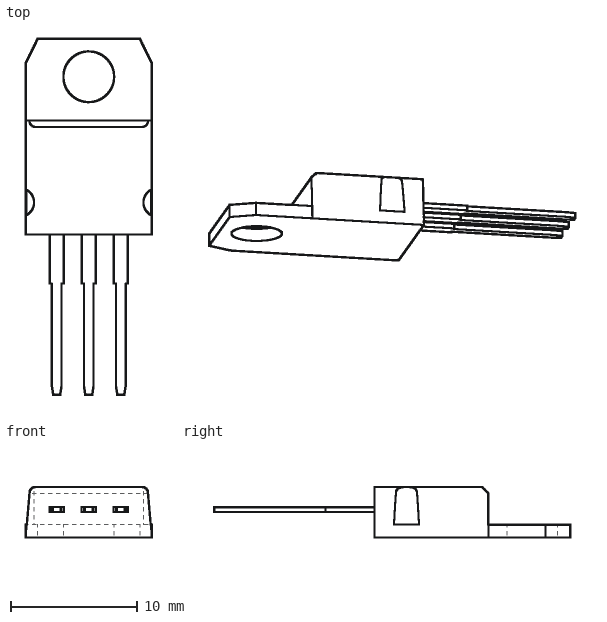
import cadquery as cq
import math

width = 10.0
height = 4.0
body_length = 9.02
tab_length = 6.5
lead_length = 12.7

tab_thickness = 1.02
tab_corner_x = 0.95
tab_corner_y = 1.95
hole_diameter = 4.0
hole_to_tab_end = 3.02

draft_angle = 5.0
top_edge_radius = 0.48
back_chamfer = 0.5
notch_radius = 1.13
notch_depth = 0.68
notch_y = 2.55

lead_count = 3
lead_pitch = 2.55
lead_thickness = 0.4
lead_center_z = 2.2
shoulder_width = 1.13
shoulder_length = 3.9
lead_width = 0.8
tip_width = 0.55
tip_length = 0.7


def make_tab():
    """Flat plate with cut-off outer corners and a mounting hole."""
    tab_end = body_length + tab_length
    plate = (
        cq.Workplane("XY")
        .moveTo(-width / 2, body_length)
        .lineTo(width / 2, body_length)
        .lineTo(width / 2, tab_end - tab_corner_y)
        .lineTo(width / 2 - tab_corner_x, tab_end)
        .lineTo(-width / 2 + tab_corner_x, tab_end)
        .lineTo(-width / 2, tab_end - tab_corner_y)
        .close()
        .extrude(tab_thickness)
    )
    hole = (
        cq.Workplane("XY")
        .center(0, tab_end - hole_to_tab_end)
        .circle(hole_diameter / 2)
        .extrude(tab_thickness)
    )
    return plate.cut(hole)


def make_body():
    """Block with drafted sides, rounded top edges, a back chamfer and two side notches."""
    top_half_width = width / 2 - height * math.tan(math.radians(draft_angle))
    block = (
        cq.Workplane("XZ")
        .moveTo(-width / 2, 0)
        .lineTo(width / 2, 0)
        .lineTo(top_half_width, height)
        .lineTo(-top_half_width, height)
        .close()
        .extrude(-body_length)
    )
    block = block.faces(">Z").edges("|Y").fillet(top_edge_radius)

    chamfer_wedge = (
        cq.Workplane("YZ")
        .moveTo(body_length - back_chamfer, height)
        .lineTo(body_length, height)
        .lineTo(body_length, height - back_chamfer)
        .close()
        .extrude(width / 2, both=True)
    )

    notch_x = width / 2 - notch_depth + notch_radius
    notches = (
        cq.Workplane("XY", origin=(0, 0, tab_thickness))
        .pushPoints([(-notch_x, notch_y), (notch_x, notch_y)])
        .circle(notch_radius)
        .extrude(height - tab_thickness)
    )
    return block.cut(chamfer_wedge).cut(notches)


def make_lead(center_x):
    """Flat lead with a wide shoulder at the body and a tapered tip."""
    right_side = [
        (shoulder_width / 2, 0),
        (shoulder_width / 2, -shoulder_length),
        (lead_width / 2, -shoulder_length),
        (lead_width / 2, tip_length - lead_length),
        (tip_width / 2, -lead_length),
    ]
    left_side = [(-x, y) for x, y in reversed(right_side)]
    return (
        cq.Workplane("XY", origin=(center_x, 0, lead_center_z - lead_thickness / 2))
        .polyline(right_side + left_side)
        .close()
        .extrude(lead_thickness)
    )


result = make_body().union(make_tab())
for index in range(lead_count):
    lead_x = (index - (lead_count - 1) / 2) * lead_pitch
    result = result.union(make_lead(lead_x))